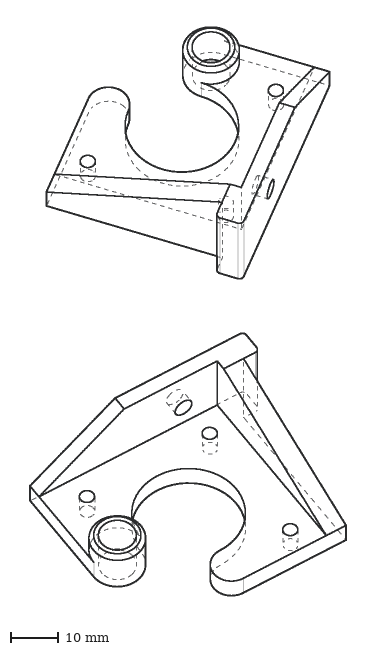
import cadquery as cq
import math


plate_thickness = 5.0
bore_radius = 12.0
inner_half_width = 21.0
arm_radius = (inner_half_width - bore_radius) / 2
plate_back = 24.0
screw_offset = 15.5
screw_diameter = 3.2

wall_thickness = 3.5
wall_outer = inner_half_width + wall_thickness
wall_height = 20.0
wall_slope_start = 2.5
wall_hole_diameter = 4.2
wall_hole_y = -12.5
wall_hole_z = 10.0

gusset_thickness = 5.0
gusset_front = -inner_half_width - gusset_thickness
post_width = 6.0
post_inner = wall_outer - post_width
post_front = -30.0
post_corner_radius = 1.0

boss_diameter = 12.0
boss_hole_diameter = 8.0
boss_height = 10.0
boss_chamfer = 1.0
boss_y = plate_back - boss_diameter / 2


def make_plate():
    """Hook-shaped plate with a round arm tip and a three-quarter open bore."""
    diagonal = bore_radius / math.sqrt(2)
    return (
        cq.Workplane("XY")
        .moveTo(-inner_half_width, gusset_front)
        .lineTo(wall_outer, gusset_front)
        .lineTo(wall_outer, plate_back)
        .lineTo(0, plate_back)
        .lineTo(0, bore_radius)
        .threePointArc((diagonal, -diagonal), (-bore_radius, 0))
        .threePointArc((-bore_radius - arm_radius, arm_radius), (-inner_half_width, 0))
        .close()
        .extrude(plate_thickness)
    )


def make_wall():
    """Upright wall whose top slopes down to the plate at the back."""
    return (
        cq.Workplane("YZ", origin=(inner_half_width, 0, 0))
        .moveTo(gusset_front, 0)
        .lineTo(plate_back, 0)
        .lineTo(plate_back, plate_thickness)
        .lineTo(wall_slope_start, wall_height)
        .lineTo(gusset_front, wall_height)
        .close()
        .extrude(wall_thickness)
    )


def make_gusset():
    """Front rib rising from the plate edge to the top of the post."""
    return (
        cq.Workplane("XZ", origin=(0, -inner_half_width, 0))
        .moveTo(-inner_half_width, 0)
        .lineTo(-inner_half_width, plate_thickness)
        .lineTo(post_inner, wall_height)
        .lineTo(wall_outer, wall_height)
        .lineTo(wall_outer, 0)
        .close()
        .extrude(gusset_thickness)
    )


def make_post():
    """Corner post with its two front vertical edges rounded."""
    post_depth = -inner_half_width - post_front
    return (
        cq.Workplane("XY")
        .box(post_width, post_depth, wall_height, centered=False)
        .edges("|Z and <Y")
        .fillet(post_corner_radius)
        .translate((post_inner, post_front, 0))
    )


def make_boss():
    """Cylinder with a chamfered top rim, tangent to the bore and the back edge."""
    return (
        cq.Workplane("XY")
        .center(0, boss_y)
        .circle(boss_diameter / 2)
        .extrude(boss_height)
        .faces(">Z")
        .chamfer(boss_chamfer)
    )


def make_holes():
    """Cutters for the boss bushing, the plate screws and the wall hole."""
    screw_points = [
        (screw_offset, screw_offset),
        (screw_offset, -screw_offset),
        (-screw_offset, -screw_offset),
    ]
    screws = (
        cq.Workplane("XY")
        .pushPoints(screw_points)
        .circle(screw_diameter / 2)
        .extrude(plate_thickness)
    )
    bushing = (
        cq.Workplane("XY")
        .center(0, boss_y)
        .circle(boss_hole_diameter / 2)
        .extrude(boss_height)
    )
    wall_hole = (
        cq.Workplane("YZ", origin=(inner_half_width, 0, 0))
        .center(wall_hole_y, wall_hole_z)
        .circle(wall_hole_diameter / 2)
        .extrude(wall_thickness)
    )
    return screws.union(bushing).union(wall_hole)


body = make_plate().union(make_wall()).union(make_gusset()).union(make_post()).union(make_boss())
result = body.cut(make_holes())